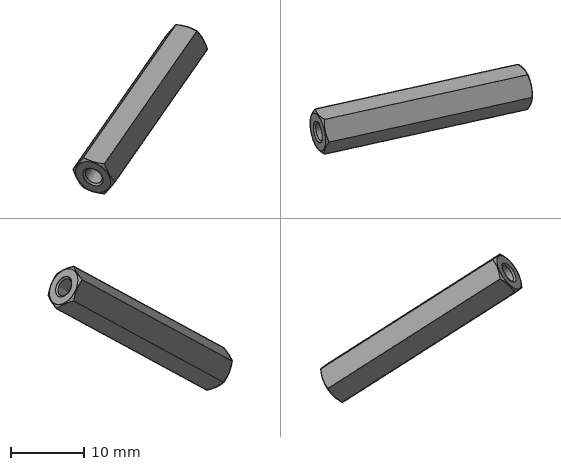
import cadquery as cq
import math

length = 31.0
across_flats = 5.5
across_corners = across_flats / math.cos(math.radians(30))

end_face_diameter = 5.27
end_chamfer_angle = 30.0

hole_diameter = 2.5
mouth_diameter = 3.0
mouth_angle = 45.0
hole_depth = 9.92
drill_point_angle = 118.0


def hexagonal_bar():
    """Bar with corners on +X and -X and flats on +Z and -Z."""
    return (
        cq.Workplane("XZ")
        .polygon(6, across_corners)
        .extrude(length / 2, both=True)
    )


def chamfer_envelope():
    """Round body with conical ends; its overlap with the bar is the chamfered bar."""
    face_radius = end_face_diameter / 2
    outer_radius = across_corners
    cone_length = (outer_radius - face_radius) * math.tan(math.radians(end_chamfer_angle))
    end = length / 2
    shoulder = end - cone_length
    return (
        cq.Workplane("XY")
        .moveTo(0, -end)
        .lineTo(face_radius, -end)
        .lineTo(outer_radius, -shoulder)
        .lineTo(outer_radius, shoulder)
        .lineTo(face_radius, end)
        .lineTo(0, end)
        .close()
        .revolve(360, (0, 0, 0), (0, 1, 0))
    )


def blind_hole():
    """Cutting body for the hole that opens on the -Y end."""
    hole_radius = hole_diameter / 2
    mouth_radius = mouth_diameter / 2
    mouth_depth = (mouth_radius - hole_radius) / math.tan(math.radians(mouth_angle))
    point_depth = hole_radius / math.tan(math.radians(drill_point_angle / 2))
    face = -length / 2
    return (
        cq.Workplane("XY")
        .moveTo(0, face)
        .lineTo(mouth_radius, face)
        .lineTo(hole_radius, face + mouth_depth)
        .lineTo(hole_radius, face + hole_depth)
        .lineTo(0, face + hole_depth + point_depth)
        .close()
        .revolve(360, (0, 0, 0), (0, 1, 0))
    )


front_hole = blind_hole()
back_hole = front_hole.mirror("XZ")
result = hexagonal_bar().intersect(chamfer_envelope()).cut(front_hole).cut(back_hole)